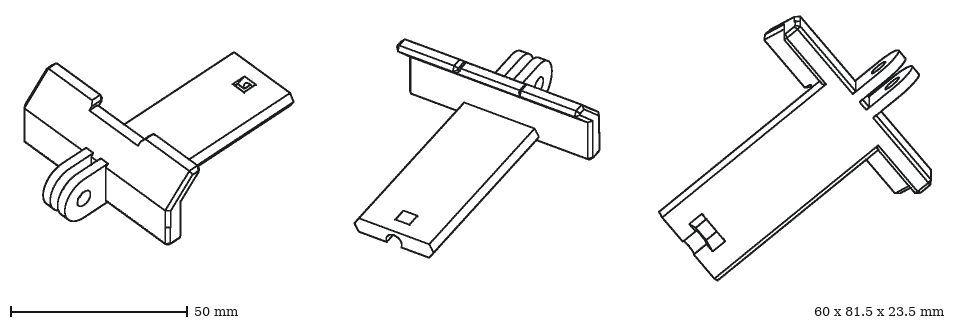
import cadquery as cq
import math

wall_width = 60.0
wall_height = 23.5
wall_thickness = 6.0
bend_height = 14.1
arm_thickness = 4.0
tip_bevel_leg = 1.0 / math.tan(math.radians(22.5))
edge_bevel = 1.0
corner_relief_depth = 1.3
notch_width = 20.0
notch_depth = 2.0

plate_width = 26.0
plate_thickness = 5.0
plate_length = 59.5
plate_side_angle = 60.0
opening_size = 4.6
opening_end_distance = 7.0
channel_diameter = 5.1
channel_axis_height = 0.9

tab_height = 15.0
tab_thickness = 3.0
tab_gap = 3.0
tab_hole_diameter = 5.1
tab_radius = tab_height / 2
tab_reach = 8.5

wall_front = tab_reach
wall_back = wall_front + wall_thickness
plate_end = wall_back + plate_length


def wall_bar(top_height, start, length):
    """Bar of the bent wall section from X = start, with its tip at top_height."""
    arm_level_thickness = arm_thickness * math.sqrt(2)
    back_bend_height = bend_height + wall_thickness - arm_level_thickness
    tip_front = wall_front + top_height - bend_height
    tip_back = tip_front + arm_level_thickness
    bevel_drop = tip_bevel_leg / math.sqrt(2)
    outline = [
        (wall_front + edge_bevel, 0),
        (wall_front, edge_bevel),
        (wall_front, bend_height),
        (tip_front, top_height),
        (tip_back - tip_bevel_leg, top_height),
        (tip_back - bevel_drop, top_height - bevel_drop),
        (wall_back, back_bend_height),
        (wall_back, edge_bevel),
        (wall_back - edge_bevel, 0),
    ]
    return cq.Workplane("YZ", origin=(start, 0, 0)).polyline(outline).close().extrude(length)


def shoulder():
    """Full-height bar on the +X side of the notch, bevelled at both ends."""
    notch_edge = notch_width / 2
    bar = wall_bar(wall_height, notch_edge, wall_width / 2 - notch_edge)
    bar = bar.faces(">X").chamfer(edge_bevel)
    above_notch_floor = cq.selectors.BoxSelector(
        (notch_edge - edge_bevel, wall_back, bend_height),
        (notch_edge + edge_bevel, plate_end, wall_height + edge_bevel),
    )
    return bar.faces("<X").edges(above_notch_floor).chamfer(edge_bevel)


def corner_relief(side):
    """Sliver that deepens the front corner bevel between tab mid-height and the bend."""
    outer_edge = side * wall_width / 2
    outline = [
        (outer_edge - side * edge_bevel, wall_front),
        (outer_edge, wall_front + corner_relief_depth),
        (outer_edge, wall_front),
    ]
    sliver = cq.Workplane("XY").workplane(offset=tab_height / 2).polyline(outline).close()
    return sliver.extrude(bend_height - tab_height / 2)


def clamp_wall():
    low_wall = wall_bar(wall_height - notch_depth, -wall_width / 2, wall_width)
    wall = low_wall.faces("<X or >X").chamfer(edge_bevel)
    right_shoulder = shoulder()
    wall = wall.union(right_shoulder).union(right_shoulder.mirror("YZ"))
    for side in (-1, 1):
        wall = wall.cut(corner_relief(side))
    return wall


def base_plate():
    half_width = plate_width / 2
    ridge_height = plate_thickness / 2
    flat_half_width = half_width - ridge_height / math.tan(math.radians(plate_side_angle))
    outline = [
        (-flat_half_width, 0),
        (-half_width, ridge_height),
        (-flat_half_width, plate_thickness),
        (flat_half_width, plate_thickness),
        (half_width, ridge_height),
        (flat_half_width, 0),
    ]
    plate_start = wall_front + wall_thickness / 2
    plate = (
        cq.Workplane("XZ", origin=(0, plate_start, 0))
        .polyline(outline).close()
        .extrude(-(plate_end - plate_start))
    )
    return plate.cut(flared_opening()).cut(end_channel())


def flared_opening():
    """Opening that is square at the top face and widens along X towards the bottom."""
    half_size = opening_size / 2
    flare = plate_thickness / math.tan(math.radians(plate_side_angle))
    outline = [
        (-half_size, plate_thickness),
        (half_size, plate_thickness),
        (half_size + flare, 0),
        (-half_size - flare, 0),
    ]
    opening_end = plate_end - opening_end_distance + half_size
    return (
        cq.Workplane("XZ", origin=(0, opening_end, 0))
        .polyline(outline).close()
        .extrude(opening_size)
    )


def end_channel():
    """Round channel from the plate end into the flared opening."""
    return (
        cq.Workplane("XZ", origin=(0, plate_end, channel_axis_height))
        .circle(channel_diameter / 2)
        .extrude(opening_end_distance)
    )


def mount_tab(side):
    tab_back = wall_front + edge_bevel
    tab_centre = side * (tab_gap + tab_thickness) / 2
    return (
        cq.Workplane("YZ", origin=(tab_centre, 0, 0))
        .moveTo(tab_back, 0)
        .lineTo(0, 0)
        .threePointArc((-tab_radius, tab_radius), (0, tab_height))
        .lineTo(tab_back, tab_height)
        .close()
        .moveTo(0, tab_radius)
        .circle(tab_hole_diameter / 2)
        .extrude(tab_thickness / 2, both=True)
    )


result = clamp_wall().union(base_plate())
for tab_side in (-1, 1):
    result = result.union(mount_tab(tab_side))